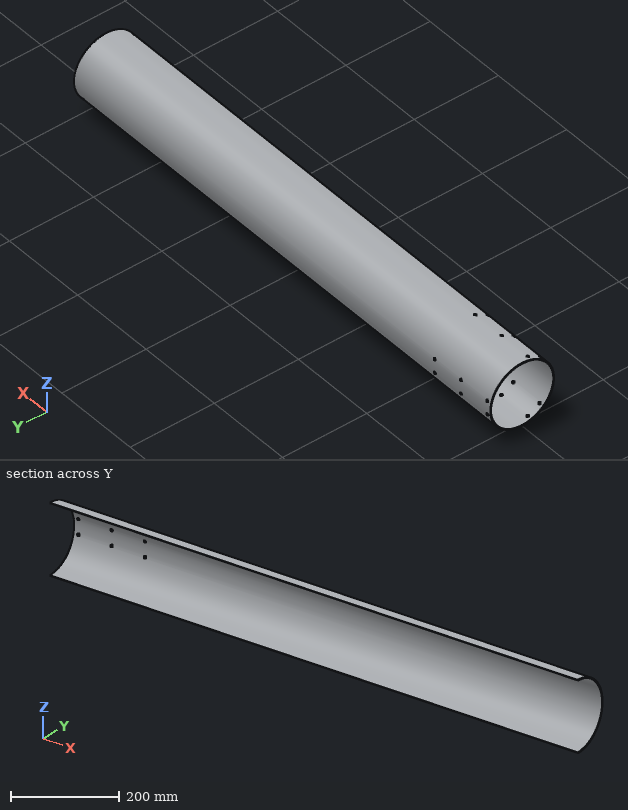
import cadquery as cq

TUBE_LENGTH = 1219.2
OUTER_DIAMETER = 152.4
WALL_THICKNESS = 2.54

HOLE_DIAMETER = 5.4
FIRST_ROW_X = 11.0
ROW_SPACING = 77.0
ROW_COUNT = 3
GROUP_COUNT = 3
PAIR_ANGLE = 25.2

OUTER_RADIUS = OUTER_DIAMETER / 2
INNER_RADIUS = OUTER_RADIUS - WALL_THICKNESS
GROUP_ANGLE = 360 / GROUP_COUNT


def make_tube():
    return (
        cq.Workplane("YZ")
        .circle(OUTER_RADIUS)
        .circle(INNER_RADIUS)
        .extrude(TUBE_LENGTH)
    )


def make_hole_cutter(x, angle):
    """Radial pin through one wall; angle is measured about +X from +Y."""
    pin_start = INNER_RADIUS - WALL_THICKNESS
    pin_end = OUTER_RADIUS + WALL_THICKNESS
    pin = cq.Solid.makeCylinder(
        HOLE_DIAMETER / 2,
        pin_end - pin_start,
        cq.Vector(x, pin_start, 0),
        cq.Vector(0, 1, 0),
    )
    return pin.rotate(cq.Vector(0, 0, 0), cq.Vector(1, 0, 0), angle)


def drill_screw_holes(tube):
    for group in range(GROUP_COUNT):
        for side in (-1, 1):
            angle = group * GROUP_ANGLE + side * PAIR_ANGLE / 2
            for row in range(ROW_COUNT):
                x = FIRST_ROW_X + row * ROW_SPACING
                tube = tube.cut(cq.Workplane(obj=make_hole_cutter(x, angle)))
    return tube


result = drill_screw_holes(make_tube())